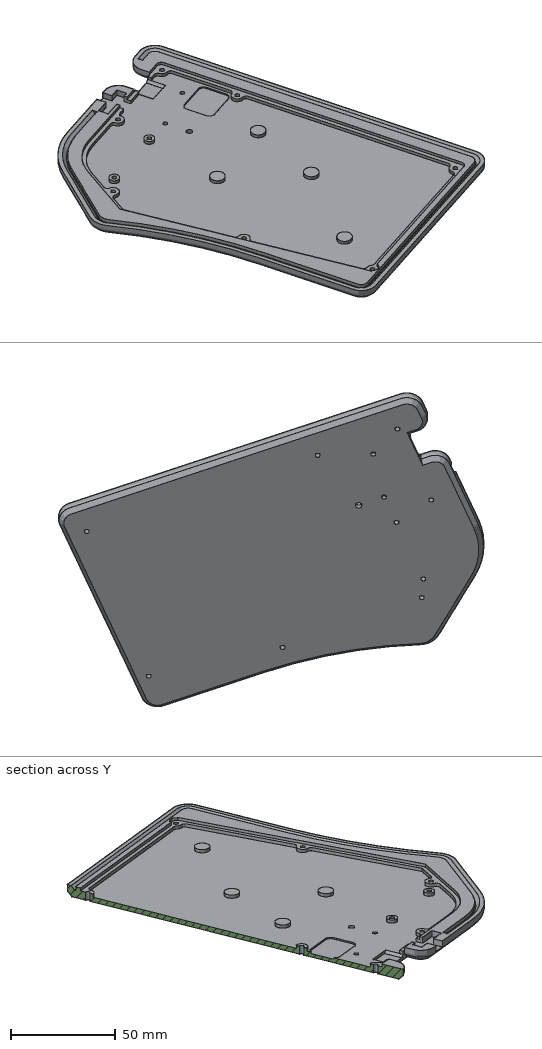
import cadquery as cq
import math

length = 187
width = 136.1
thickness = 6.0
bottom_edge_y = 13.3
bottom_edge_start_x = 127.3
tip = (45.8, -1.5)
left_corner_y = 38.7
corner_radius = 8.2
tip_radius = 10.7
left_bend_radius = 36.3

draft_top_z = 3.4
draft_angle = 13.5
chamfer_height = 2.2
edge_allowance = 3.7

notch_top = 115.4
notch_bottom = 100.2
tab_radius = 7.5

ledge_z = 4.5
floor_z = 2.8
cavity_left = 12.0
cavity_right = 179.5
cavity_top = 125.3
cavity_tip = (50.9, 14.8)
cavity_left_corner_y = 40.8
cavity_right_corner_y = 30
cavity_corner_radius = 2.5
cavity_bend_radius = 26.2
ledge_width = 2.0
boss_radius = 3.0
boss_blend_radius = 1.9
small_hole_diameter = 2.2
overhanging_boss = (178.5, 33.3)
ledge_bosses = [
    (15.5, 121.5),
    (56.7, 121.5),
    (175.5, 121.5),
    (15.5, 77.6),
    (40.4, 27.1),
    (113.0, 25.0),
    overhanging_boss,
]

disc_diameter = 7.5
discs = [(78.5, 102.3), (78.5, 61.5), (116.5, 85.8), (154.6, 49.2)]
standoff_diameter = 5.2
standoffs = [(35.7, 71.8), (35.7, 36.8)]
floor_holes = [(31.6, 112.4), (35.9, 87.5)]
large_hole = (49.0, 87.5)
large_hole_diameter = 3.0
recess_left, recess_right = 36.8, 53.1
recess_bottom, recess_top = 102.3, 121.7
recess_radius = 2.8
recess_depth = 0.7

trough_end_x = 21.7
trough_bottom, trough_top = 101.5, 113.7
trough_depth = 1.3

passage = [
    (0, 5.0, 84.9, 90.7),
    (5.0, 10.3, 77.5, 95.7),
    (10.3, cavity_left + ledge_width, 86, 93.1),
]

groove_outer_inset = 2.2
groove_inner_inset = 4.7
groove_depth = 1.9
groove_gap_bottom, groove_gap_top = 76.3, 122.1


def box(x0, x1, y0, y1, z0, z1):
    return cq.Workplane().box(x1 - x0, y1 - y0, z1 - z0, centered=False).translate((x0, y0, z0))


def cylinder(center, diameter, z0, z1):
    return cq.Workplane().workplane(offset=z0).center(*center).circle(diameter / 2).extrude(z1 - z0)


def round_corner(solid, corner, radius):
    """Round the upright edge that stands at the given corner."""
    return solid.edges("|Z").edges(cq.NearestToPointSelector((*corner, thickness / 2))).fillet(radius)


def inset_outline(face, amount):
    """Outline of the face, moved inward (by nothing if the amount is 0) and ready to extrude."""
    wire = face.wires().val()
    inset_wires = wire.offset2D(-amount) if amount else [wire]
    return cq.Workplane().newObject(inset_wires).toPending()


def outline_prism():
    solid = (
        cq.Workplane()
        .moveTo(0, width)
        .lineTo(length, width)
        .lineTo(length, bottom_edge_y)
        .lineTo(bottom_edge_start_x, bottom_edge_y)
        .tangentArcPoint(tip, relative=False)
        .lineTo(0, left_corner_y)
        .close()
        .extrude(thickness)
    )
    for corner in [(0, width), (length, width), (length, bottom_edge_y)]:
        solid = round_corner(solid, corner, corner_radius)
    solid = round_corner(solid, tip, tip_radius)
    return round_corner(solid, (0, left_corner_y), left_bend_radius)


def notched_plate(outline):
    deep_end = cavity_left + edge_allowance
    plate = outline.cut(box(0, deep_end, notch_bottom, notch_top, 0, thickness))
    for y in (notch_bottom, notch_top):
        plate = round_corner(plate, (0, y), tab_radius)
    footprint = plate.faces("<Z")
    draft_height = draft_top_z - chamfer_height
    draft_inset = draft_height * math.tan(math.radians(draft_angle))
    upright_wall = inset_outline(footprint, 0).extrude(thickness - draft_top_z)
    drafted_band = inset_outline(footprint, 0).extrude(-draft_height, taper=draft_angle)
    chamfered_band = inset_outline(footprint, draft_inset).extrude(-chamfer_height, taper=45)
    plate = (
        upright_wall.translate((0, 0, draft_top_z))
        .union(drafted_band.translate((0, 0, draft_top_z)))
        .union(chamfered_band.translate((0, 0, chamfer_height)))
    )
    back_wall = box(
        cavity_left,
        deep_end + edge_allowance,
        notch_bottom - edge_allowance,
        notch_top + edge_allowance,
        0,
        thickness,
    )
    return plate.union(back_wall)


def ledge_pocket():
    pocket = (
        cq.Workplane()
        .polyline(
            [
                (cavity_left, cavity_top),
                (cavity_right, cavity_top),
                (cavity_right, cavity_right_corner_y),
                cavity_tip,
                (cavity_left, cavity_left_corner_y),
            ]
        )
        .close()
        .extrude(thickness)
    )
    for x in (cavity_left, cavity_right):
        pocket = round_corner(pocket, (x, cavity_top), cavity_corner_radius)
    return round_corner(pocket, (cavity_left, cavity_left_corner_y), cavity_bend_radius)


def floor_pocket(pocket):
    inner = inset_outline(pocket.faces("<Z"), ledge_width).extrude(thickness)
    for center in ledge_bosses:
        inner = inner.cut(cylinder(center, 2 * boss_radius, 0, thickness))

    def beside_boss(edge):
        point = edge.Center()
        distances = [math.dist(center, (point.x, point.y)) for center in ledge_bosses]
        return min(abs(distance - boss_radius) for distance in distances) < 0.02

    return inner.edges("|Z").filter(beside_boss).fillet(boss_blend_radius)


def rim_groove(outline):
    top = outline.faces(">Z")
    ring = inset_outline(top, groove_outer_inset).extrude(-groove_depth, taper=45)
    ring = ring.cut(inset_outline(top, groove_inner_inset).extrude(-groove_depth))
    gap = box(0, cavity_left, groove_gap_bottom, groove_gap_top, 0, thickness)
    return ring.cut(gap)


def trough():
    cut = box(cavity_left, trough_end_x, trough_bottom, trough_top, floor_z - trough_depth, thickness)
    return cut.faces("<Z").edges("|X").chamfer(trough_depth)


outline = outline_prism()
result = notched_plate(outline).cut(rim_groove(outline))

pocket = ledge_pocket()
overhang = cylinder(overhanging_boss, 2 * boss_radius, 0, thickness)
result = result.cut(pocket.union(overhang).translate((0, 0, ledge_z)))
result = result.cut(floor_pocket(pocket).translate((0, 0, floor_z)))

for center in discs:
    result = result.union(cylinder(center, disc_diameter, floor_z, ledge_z))
for center in standoffs:
    result = result.union(cylinder(center, standoff_diameter, floor_z, ledge_z))
recess = box(recess_left, recess_right, recess_bottom, recess_top, floor_z - recess_depth, floor_z)
result = result.cut(recess.edges("|Z").fillet(recess_radius))

for center in ledge_bosses + standoffs + floor_holes:
    result = result.cut(cylinder(center, small_hole_diameter, 0, thickness))
result = result.cut(cylinder(large_hole, large_hole_diameter, 0, thickness))

result = result.cut(trough())
for x0, x1, y0, y1 in passage:
    result = result.cut(box(x0, x1, y0, y1, floor_z, thickness))